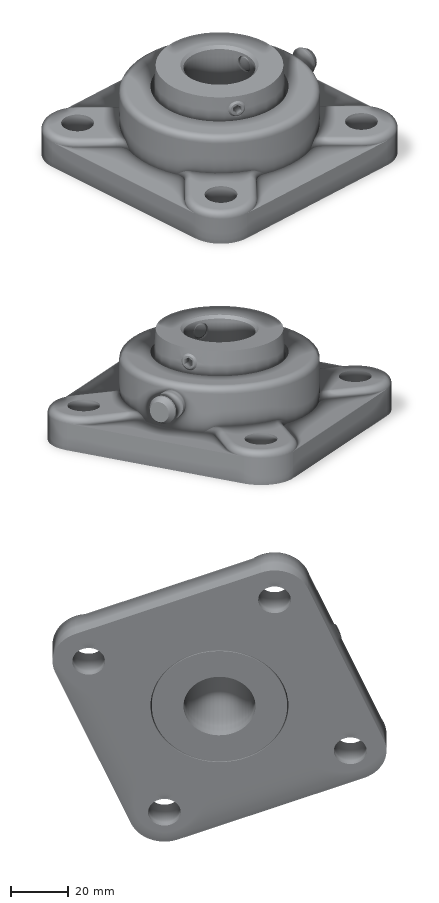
import cadquery as cq
import math


flange_size = 95.25
bolt_spacing = 70.0
bolt_hole_radius = 5.7
corner_radius = (flange_size - bolt_spacing) / 2
flange_thickness = 10.0
edge_fillet = 2.5
lug_height = flange_thickness + edge_fillet
collar_radius = bolt_spacing / 2
collar_height = 27.05
lug_root_fillet = 5.0
housing_bore_radius = 24.1

total_height = 35.7
insert_bore_radius = 12.6
insert_bore_chamfer = 1.05
insert_top_radius = 22.3
insert_foot_radius = 23.6
insert_foot_height = 17.1

screw_angles = (-30.0, 90.0)
screw_height = 30.8
screw_radius = 3.05
screw_chamfer = 0.7
screw_inner_end = 12.7
screw_outer_end = 23.05
hex_across_flats = 3.1
hex_depth = 3.3

nipple_height = 19.4
nipple_rim_radius = 5.05
nipple_neck_radius = 3.2
nipple_throat_radius = 3.6
nipple_tip_radius = 3.7
nipple_seat = 34.3
nipple_flange_end = 36.6
nipple_throat = 39.8
nipple_rim_start = 41.6
nipple_rim_end = 42.4
nipple_tip = 44.7


def lug_pair(angle):
    """Two opposite rounded lugs as one long slot through the centre, at an angle to X."""
    slot_length = math.sqrt(2) * bolt_spacing + 2 * corner_radius
    return cq.Workplane("XY").slot2D(slot_length, 2 * corner_radius, angle).extrude(lug_height)


def make_lugs():
    """The four lugs joined by a disc, blended into it and rounded along their top edges."""
    hub = cq.Workplane("XY").circle(collar_radius).extrude(lug_height)
    lugs = hub.union(lug_pair(45)).union(lug_pair(-45))
    box_margin = 0.1
    root_reach = collar_radius + box_margin
    root_box = cq.selectors.BoxSelector(
        (-root_reach, -root_reach, 0), (root_reach, root_reach, lug_height)
    )
    lugs = lugs.edges("|Z").edges(root_box).fillet(lug_root_fillet)
    return lugs.faces(">Z").edges().fillet(edge_fillet)


def make_housing():
    flange = cq.Workplane("XY").rect(flange_size, flange_size).extrude(flange_thickness)
    flange = flange.edges("|Z").fillet(corner_radius)
    collar = cq.Workplane("XY").circle(collar_radius).extrude(collar_height)
    collar = collar.faces(">Z").edges().fillet(edge_fillet)
    body = flange.union(make_lugs()).union(collar)
    bore = cq.Workplane("XY").circle(housing_bore_radius).extrude(collar_height)
    bolt_holes = (
        cq.Workplane("XY")
        .rect(bolt_spacing, bolt_spacing, forConstruction=True)
        .vertices()
        .circle(bolt_hole_radius)
        .extrude(lug_height)
    )
    nipple_recess = (
        cq.Workplane("XZ", origin=(0, nipple_seat, nipple_height))
        .circle(nipple_rim_radius)
        .extrude(nipple_seat - nipple_tip)
    )
    return body.cut(bore).cut(bolt_holes).cut(nipple_recess)


def radial_plane(angle, distance):
    """Plane facing outwards at the set screw height, at a distance from the bore axis."""
    direction = cq.Vector(math.cos(math.radians(angle)), math.sin(math.radians(angle)), 0)
    origin = direction * distance + cq.Vector(0, 0, screw_height)
    return cq.Plane(origin=origin.toTuple(), xDir=(0, 0, 1), normal=direction.toTuple())


def make_insert():
    """Ring with a tapered upper collar and a chamfered bore, cross-drilled for the set screws."""
    profile = [
        (insert_bore_radius, 0),
        (insert_foot_radius, 0),
        (insert_foot_radius, insert_foot_height),
        (insert_top_radius, total_height),
        (insert_bore_radius + insert_bore_chamfer, total_height),
        (insert_bore_radius, total_height - insert_bore_chamfer),
    ]
    ring = cq.Workplane("XZ").polyline(profile).close().revolve(360, (0, 0), (0, 1))
    for angle in screw_angles:
        hole = cq.Workplane(radial_plane(angle, 0)).circle(screw_radius).extrude(flange_size)
        ring = ring.cut(hole)
    return ring


def make_set_screw(angle):
    """Chamfered headless screw with a hexagon socket in its outer end."""
    length = screw_outer_end - screw_inner_end
    screw = cq.Workplane(radial_plane(angle, screw_inner_end)).circle(screw_radius).extrude(length)
    screw = screw.faces("%PLANE").edges().chamfer(screw_chamfer)
    hex_across_corners = hex_across_flats / math.cos(math.radians(30))
    socket = (
        cq.Workplane(radial_plane(angle, screw_outer_end))
        .polygon(6, hex_across_corners)
        .extrude(-hex_depth)
    )
    return screw.cut(socket)


def make_nipple():
    """Turned nipple: flange, concave neck and a rimmed head."""
    blend = nipple_rim_radius - nipple_neck_radius
    diagonal = blend * math.sqrt(0.5)
    neck_start = nipple_flange_end + blend
    blend_middle = (nipple_rim_radius - diagonal, neck_start - diagonal)
    return (
        cq.Workplane("XY", origin=(0, 0, nipple_height))
        .moveTo(0, nipple_seat)
        .lineTo(nipple_rim_radius, nipple_seat)
        .lineTo(nipple_rim_radius, nipple_flange_end)
        .threePointArc(blend_middle, (nipple_neck_radius, neck_start))
        .tangentArcPoint((nipple_throat_radius, nipple_throat), relative=False)
        .lineTo(nipple_rim_radius, nipple_rim_start)
        .lineTo(nipple_rim_radius, nipple_rim_end)
        .lineTo(nipple_tip_radius, nipple_tip)
        .lineTo(0, nipple_tip)
        .close()
        .revolve(360, (0, 0), (0, 1))
    )


housing = make_housing()
insert = make_insert()
nipple = make_nipple()
set_screws = [make_set_screw(angle).val() for angle in screw_angles]

result = cq.Compound.makeCompound([housing.val(), insert.val(), nipple.val(), *set_screws])